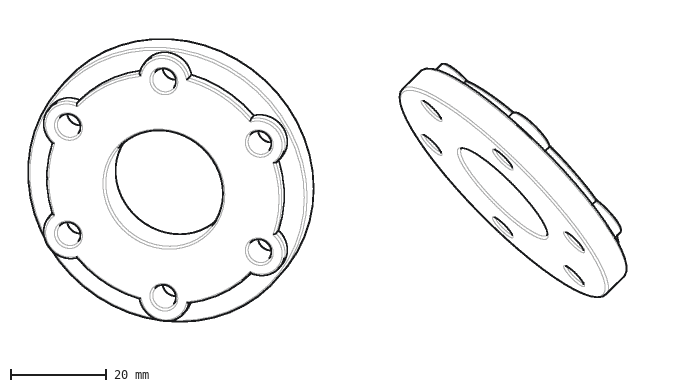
import cadquery as cq
import math

disc_diameter = 60.3
total_thickness = 8.85
disc_thickness = 6.35
pad_diameter = 50.8
bore_diameter = 25.4
lobe_count = 6
lobe_diameter = 10.85
hole_diameter = 5.05
bolt_circle_diameter = 47.65
edge_radius = 0.5

rear_plane = cq.Workplane("XZ")

bolt_radius = bolt_circle_diameter / 2
bolt_centers = []
for index in range(lobe_count):
    angle = 2 * math.pi * index / lobe_count
    bolt_centers.append((bolt_radius * math.sin(angle), bolt_radius * math.cos(angle)))


def make_disc():
    """Round base disc, rounded on both rims."""
    disc = rear_plane.circle(disc_diameter / 2).extrude(disc_thickness)
    return disc.edges("%CIRCLE").fillet(edge_radius)


def raised_disc(center, diameter):
    """Disc standing on the base disc at an (X, Z) center, rounded on its front rim."""
    front_plane = rear_plane.workplane(offset=disc_thickness)
    disc = front_plane.center(*center).circle(diameter / 2).extrude(total_thickness - disc_thickness)
    return disc.faces("<Y").edges().fillet(edge_radius)


def make_raised_pad():
    """Round pad with a lobe around each bolt hole."""
    pad = raised_disc((0, 0), pad_diameter)
    for center in bolt_centers:
        pad = pad.union(raised_disc(center, lobe_diameter))
    return pad


def hole_cutter(center, diameter):
    """Through-hole cutter at an (X, Z) center, flaring out at both ends to round the hole's rims."""
    radius = diameter / 2
    flare_radius = radius + edge_radius
    arc_inset = edge_radius * (1 - math.sqrt(0.5))
    cutter = (
        cq.Workplane("XY")
        .lineTo(flare_radius, 0)
        .threePointArc((radius + arc_inset, -arc_inset), (radius, -edge_radius))
        .lineTo(radius, edge_radius - total_thickness)
        .threePointArc((radius + arc_inset, arc_inset - total_thickness), (flare_radius, -total_thickness))
        .lineTo(0, -total_thickness)
        .close()
        .revolve(360, (0, 0), (0, 1))
    )
    x, z = center
    return cutter.translate((x, 0, z))


def drill_holes(body):
    """Central bore and the ring of bolt holes, all passing through."""
    body = body.cut(hole_cutter((0, 0), bore_diameter))
    for center in bolt_centers:
        body = body.cut(hole_cutter(center, hole_diameter))
    return body


result = drill_holes(make_disc().union(make_raised_pad()))